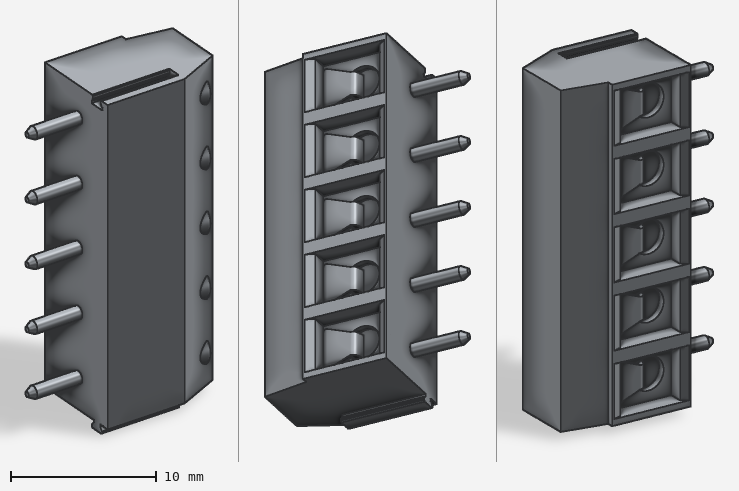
import cadquery as cq
import math


ways = 5
overall_length = 26.1
body_length = 25.4
pitch = body_length / ways
body_depth = 7.5
body_height = 10.0
base_height = 6.47
front_step = 0.5
crown_front = 1.07
crown_back = 5.85

window_bottom = 0.15
window_top = 6.31
window_width = 4.1
window_depth = 1.43
bevel_top = 0.68
bevel_top_depth = 0.23
bevel_bottom = 0.52
bevel_bottom_depth = 0.35

hole_radius = 1.28
hole_y = 2.58
hole_depth = 0.57

leaf_rise = 0.3
leaf_bend_start = 3.4
leaf_bend_radius = 0.45
leaf_bend_angle = 73
leaf_root_width = 3.2
leaf_tip_width = 1.8

pin_radius = 0.5
pin_x = 4.0
pin_length = 4.3
pin_root = 0.52
pin_taper = 0.52
pin_tip_radius = 0.2

screw_radius = 1.3
screw_back = 6.57
screw_top = 9.45
screw_edge_radius = 0.31

dovetail_x = 6.2
rail_height = overall_length - body_length
rail_neck = 0.75
rail_neck_height = 0.18
rail_flare_height = 0.45
rail_corner = 0.1
groove_depth = 0.7
groove_neck = 0.95
groove_mouth_bevel = 0.08
groove_neck_depth = 0.3
groove_flare_depth = 0.52
dovetail_width = 1.25


def xy_prism(points, length, z_start=0.0):
    """Extrude an XY outline along +Z."""
    return cq.Workplane("XY").workplane(offset=z_start).polyline(points).close().extrude(length)


def cylinder(radius, length, start, direction):
    return cq.Workplane(cq.Solid.makeCylinder(radius, length, cq.Vector(*start), cq.Vector(*direction)))


def make_housing():
    outline = [
        (0, 0),
        (body_depth, 0),
        (body_depth, base_height),
        (crown_back, body_height),
        (crown_front, body_height),
        (front_step, base_height),
        (0, base_height),
    ]
    return xy_prism(outline, body_length)


def make_window(z):
    """Cutter for one window: both Y walls are bevelled, the Z walls are straight."""
    back_top = window_top - bevel_top
    back_bottom = window_bottom + bevel_bottom
    outline = [
        (0, window_bottom),
        (bevel_bottom_depth, back_bottom),
        (window_depth, back_bottom),
        (window_depth, back_top),
        (bevel_top_depth, back_top),
        (0, window_top),
    ]
    return xy_prism(outline, window_width, z - window_width / 2)


def make_wire_hole(z):
    return cylinder(hole_radius, hole_depth, (window_depth, hole_y, z), (1, 0, 0))


def make_leaf(z):
    """Leaf lying on the window's back wall, bent at its lower end into the wire hole."""
    root_y = window_top - bevel_top
    face_x = window_depth - leaf_rise
    floor_x = window_depth + hole_depth
    tip_angle = math.radians(leaf_bend_angle)
    root_angle = math.acos(1 - leaf_rise / leaf_bend_radius)
    root_end_y = root_y - leaf_bend_radius * math.sin(root_angle)

    def bend_point(start_y, turn):
        """Point on a bend that leaves the leaf's face at start_y; a negative turn runs towards +Y."""
        return (
            face_x + leaf_bend_radius * (1 - math.cos(turn)),
            start_y - leaf_bend_radius * math.sin(turn),
        )

    tip_bend_end = bend_point(leaf_bend_start, tip_angle)
    tip_y = tip_bend_end[1] - (floor_x - tip_bend_end[0]) / math.tan(tip_angle)
    side = (
        cq.Workplane("XY")
        .workplane(offset=z - leaf_root_width / 2)
        .moveTo(window_depth, root_y)
        .threePointArc(bend_point(root_end_y, -root_angle / 2), (face_x, root_end_y))
        .lineTo(face_x, leaf_bend_start)
        .threePointArc(bend_point(leaf_bend_start, tip_angle / 2), tip_bend_end)
        .lineTo(floor_x, tip_y)
        .lineTo(floor_x, root_y)
        .close()
        .extrude(leaf_root_width)
    )
    half_root = leaf_root_width / 2
    half_tip = leaf_tip_width / 2
    plan = [
        (root_y, z - half_root),
        (root_end_y, z - half_root),
        (leaf_bend_start, z - half_tip),
        (tip_y, z - half_tip),
        (tip_y, z + half_tip),
        (leaf_bend_start, z + half_tip),
        (root_end_y, z + half_root),
        (root_y, z + half_root),
    ]
    face = cq.Workplane("YZ").polyline(plan).close().extrude(floor_x)
    return side.intersect(face)


def make_pin(z):
    """Round pin with a conical tip, rooted inside the housing."""
    profile = [
        (0, pin_root),
        (pin_radius, pin_root),
        (pin_radius, pin_taper - pin_length),
        (pin_tip_radius, -pin_length),
        (0, -pin_length),
    ]
    pin = cq.Workplane("XY").polyline(profile).close().revolve(360, (0, 0, 0), (0, 1, 0))
    return pin.translate((pin_x, 0, z))


def make_screw(z):
    """Screw head along Y with a rounded upper rim."""
    start = (screw_back - screw_radius, base_height, z)
    head = cylinder(screw_radius, screw_top - base_height, start, (0, 1, 0))
    return head.faces(">Y").edges().fillet(screw_edge_radius)


def extrude_dovetail(right_side, z):
    """Mirror half an outline, given as (offset from centre, distance below z), and extrude along +Y."""
    right = [(dovetail_x + offset, z - drop) for offset, drop in right_side]
    left = [(dovetail_x - offset, z - drop) for offset, drop in reversed(right_side)]
    return cq.Workplane("XZ").polyline(right + left).close().extrude(-base_height)


def make_rail():
    """Dovetail rail with a bevelled outer edge, along the base height."""
    half_neck = rail_neck / 2
    half_width = dovetail_width / 2
    right_side = [
        (half_neck, 0),
        (half_neck, rail_neck_height),
        (half_width, rail_flare_height),
        (half_width, rail_height - rail_corner),
        (half_width - rail_corner, rail_height),
    ]
    return extrude_dovetail(right_side, 0)


def make_groove():
    """Cutter for the dovetail groove, its mouth lightly bevelled."""
    half_neck = groove_neck / 2
    half_width = dovetail_width / 2
    right_side = [
        (half_neck + groove_mouth_bevel, 0),
        (half_neck, groove_mouth_bevel),
        (half_neck, groove_neck_depth),
        (half_width, groove_flare_depth),
        (half_width, groove_depth),
    ]
    return extrude_dovetail(right_side, body_length)


result = make_housing().cut(make_groove()).union(make_rail())
for way in range(ways):
    way_z = (way + 0.5) * pitch
    result = result.cut(make_window(way_z)).cut(make_wire_hole(way_z))
    result = result.union(make_leaf(way_z)).union(make_pin(way_z)).union(make_screw(way_z))